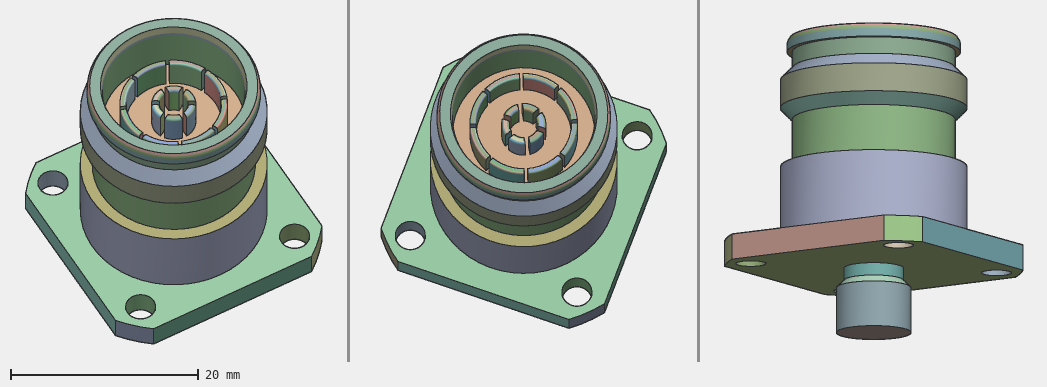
import cadquery as cq

FLANGE_SIDE = 25.4
FLANGE_CORNER_DIAMETER = 32
FLANGE_BOTTOM = 7.0
FLANGE_TOP = 9.75
MOUNT_HOLE_DIAMETER = 3.2
MOUNT_HOLE_SPACING = 18.95

STEM_DIAMETER = 8
STEM_NECK_DIAMETER = 6.4
STEM_SHOULDER_BOTTOM = 4.85
STEM_SHOULDER_TOP = STEM_SHOULDER_BOTTOM + (STEM_DIAMETER - STEM_NECK_DIAMETER) / 2

TOTAL_HEIGHT = 32
BODY_DIAMETER = 20.0
NECK_DIAMETER = 17.47
RIM_DIAMETER = 18.55
BODY_TOP = 18.0
COLLAR_BEVEL = (BODY_DIAMETER - NECK_DIAMETER) / 2
COLLAR_BOTTOM = 23.17
COLLAR_TOP = 28.75
RIM_BOTTOM = 30.53
RIM_CHAMFER_WIDTH = 0.3
RIM_CHAMFER_HEIGHT = 0.45
RIM_ROUND = 0.65

SOCKET_DIAMETER = 15.23
SOCKET_FLOOR = 25.6
MOUTH_DIAMETER = 15.68
MOUTH_DEPTH = 1.05
MOUTH_ROUND = 1.6

FINGER_TOP = 29.0
OUTER_RING_DIAMETER = 11.52
OUTER_RING_BORE = 10.18
OUTER_RING_SLOTS = 8
OUTER_RING_SLOT_WIDTH = 0.4
OUTER_RING_ROUND = 0.2
INNER_RING_DIAMETER = 4.75
INNER_RING_BORE = 3.07
INNER_RING_SLOTS = 6
INNER_RING_SLOT_WIDTH = 0.5
INNER_RING_ROUND = 0.25


def cylinder(diameter, bottom, top):
    """Vertical cylinder on the Z axis."""
    return cq.Workplane("XY").workplane(offset=bottom).circle(diameter / 2).extrude(top - bottom)


def revolve_profile(points):
    """Turn a closed (radius, height) outline around the Z axis."""
    return cq.Workplane("XZ").polyline(points).close().revolve(360, (0, 0, 0), (0, 1, 0))


def circle_at(height):
    """Selector for the circular edges lying at one height."""
    reach = TOTAL_HEIGHT
    tolerance = 0.003
    return cq.selectors.BoxSelector(
        (-reach, -reach, height - tolerance),
        (reach, reach, height + tolerance),
    )


def make_flange():
    thickness = FLANGE_TOP - FLANGE_BOTTOM
    plate = (
        cq.Workplane("XY")
        .workplane(offset=FLANGE_BOTTOM)
        .rect(FLANGE_SIDE, FLANGE_SIDE)
        .extrude(thickness)
    )
    plate = plate.intersect(cylinder(FLANGE_CORNER_DIAMETER, FLANGE_BOTTOM, FLANGE_TOP))
    return (
        plate.faces(">Z")
        .workplane()
        .rect(MOUNT_HOLE_SPACING, MOUNT_HOLE_SPACING, forConstruction=True)
        .vertices()
        .hole(MOUNT_HOLE_DIAMETER)
    )


def make_stem():
    return revolve_profile([
        (0, 0),
        (STEM_DIAMETER / 2, 0),
        (STEM_DIAMETER / 2, STEM_SHOULDER_BOTTOM),
        (STEM_NECK_DIAMETER / 2, STEM_SHOULDER_TOP),
        (STEM_NECK_DIAMETER / 2, FLANGE_BOTTOM),
        (0, FLANGE_BOTTOM),
    ])


def make_barrel():
    body_radius = BODY_DIAMETER / 2
    neck_radius = NECK_DIAMETER / 2
    rim_radius = RIM_DIAMETER / 2
    rim_chamfer_bottom = TOTAL_HEIGHT - RIM_CHAMFER_HEIGHT
    barrel = revolve_profile([
        (0, FLANGE_TOP),
        (body_radius, FLANGE_TOP),
        (body_radius, BODY_TOP),
        (neck_radius, BODY_TOP),
        (neck_radius, COLLAR_BOTTOM),
        (body_radius, COLLAR_BOTTOM + COLLAR_BEVEL),
        (body_radius, COLLAR_TOP - COLLAR_BEVEL),
        (neck_radius, COLLAR_TOP),
        (neck_radius, RIM_BOTTOM),
        (rim_radius, RIM_BOTTOM),
        (rim_radius, rim_chamfer_bottom),
        (rim_radius - RIM_CHAMFER_WIDTH, TOTAL_HEIGHT),
        (0, TOTAL_HEIGHT),
    ])
    return barrel.edges(circle_at(rim_chamfer_bottom)).fillet(RIM_ROUND)


def make_socket():
    mouth_bottom = TOTAL_HEIGHT - MOUTH_DEPTH
    socket = revolve_profile([
        (0, SOCKET_FLOOR),
        (SOCKET_DIAMETER / 2, SOCKET_FLOOR),
        (SOCKET_DIAMETER / 2, mouth_bottom),
        (MOUTH_DIAMETER / 2, TOTAL_HEIGHT),
        (0, TOTAL_HEIGHT),
    ])
    return socket.edges(circle_at(mouth_bottom)).fillet(MOUTH_ROUND)


def make_slotted_ring(diameter, bore, tip_round, slot_count, slot_width, first_slot_angle):
    """Ring of spring fingers with rounded tips, parted by radial slots."""
    height = FINGER_TOP - SOCKET_FLOOR
    ring = cylinder(diameter, SOCKET_FLOOR, FINGER_TOP).cut(cylinder(bore, SOCKET_FLOOR, FINGER_TOP))
    ring = ring.faces(">Z").edges().fillet(tip_round)
    slot = (
        cq.Workplane("XY")
        .workplane(offset=SOCKET_FLOOR)
        .rect(diameter, slot_width)
        .extrude(height)
    )
    for index in range(slot_count // 2):
        angle = first_slot_angle + index * 360 / slot_count
        ring = ring.cut(slot.rotate((0, 0, 0), (0, 0, 1), angle))
    return ring


outer_ring = make_slotted_ring(
    OUTER_RING_DIAMETER,
    OUTER_RING_BORE,
    OUTER_RING_ROUND,
    OUTER_RING_SLOTS,
    OUTER_RING_SLOT_WIDTH,
    180 / OUTER_RING_SLOTS,
)
inner_ring = make_slotted_ring(
    INNER_RING_DIAMETER,
    INNER_RING_BORE,
    INNER_RING_ROUND,
    INNER_RING_SLOTS,
    INNER_RING_SLOT_WIDTH,
    0,
)

housing = make_flange().union(make_stem()).union(make_barrel()).cut(make_socket())
result = housing.union(outer_ring).union(inner_ring)